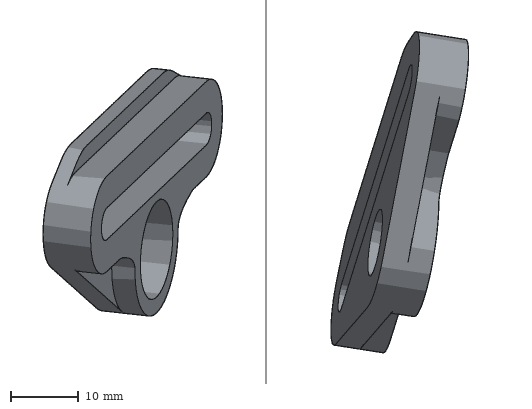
import cadquery as cq
import math

thickness = 7.5
lip_thickness = 2.5
web_thickness = 3.85

slot_radius = 2.5
end_radius = 7.5
end_y = 30.5 - end_radius

lip_radius = 10.0
lip_y = 17.55

hole_radius = 5.0
boss_radius = 10.0
counterbore_radius = 7.5
counterbore_floor = 2.5
hole_z = -11.45

blend_y = 16.8
blend_bar_control_y = 11.9
blend_bar_control_z = -8.55
blend_boss_control_z = -10.05


def prism(outline, depth):
    return outline.close().extrude(depth)


def bar(radius, depth):
    """Round-ended bar along Y, centred on the slot."""
    return cq.Workplane("YZ").slot2D(2 * (end_y + radius), 2 * radius).extrude(depth)


def disc(radius, depth):
    """Disc centred on the round hole."""
    return cq.Workplane("YZ").center(0, hole_z).circle(radius).extrude(depth)


def make_lip():
    """Tall top edge, sloping down along the common tangents of the lip and end arcs."""
    slope = math.asin((lip_radius - end_radius) / (end_y - lip_y))

    def arc_point(center_y, radius, angle):
        return center_y + radius * math.sin(angle), radius * math.cos(angle)

    def mirrored(point):
        return -point[0], point[1]

    low = arc_point(end_y, end_radius, slope)
    high = arc_point(lip_y, lip_radius, slope)
    middle = arc_point(lip_y, lip_radius, slope / 2)
    outline = (
        cq.Workplane("YZ")
        .moveTo(-end_y, 0)
        .lineTo(*mirrored(low))
        .lineTo(*mirrored(high))
        .threePointArc(mirrored(middle), (-lip_y, lip_radius))
        .lineTo(lip_y, lip_radius)
        .threePointArc(middle, high)
        .lineTo(*low)
        .lineTo(end_y, 0)
    )
    return prism(outline, lip_thickness)


def make_web():
    """Triangular web whose sides are the common tangents of the end and boss arcs."""
    span = math.hypot(end_y, hole_z)
    tilt = math.atan2(-hole_z, end_y) + math.asin((boss_radius - end_radius) / span)
    normal_y = math.sin(tilt)
    normal_z = -math.cos(tilt)
    upper = (end_y + end_radius * normal_y, end_radius * normal_z)
    lower = (boss_radius * normal_y, hole_z + boss_radius * normal_z)
    outline = cq.Workplane("YZ").polyline(
        [
            (-end_y, 0),
            (-upper[0], upper[1]),
            (-lower[0], lower[1]),
            (0, hole_z),
            lower,
            upper,
            (end_y, 0),
        ]
    )
    return prism(outline, web_thickness)


def make_boss_neck():
    """Neck joining bar and boss with concave blends that turn tightest beside the boss."""
    bar_end = (blend_y, -end_radius)
    bar_control = (blend_bar_control_y, blend_bar_control_z)
    boss_control = (boss_radius, blend_boss_control_z)
    boss_end = (boss_radius, hole_z)
    blend = [bar_end, bar_control, boss_control, boss_end]
    mirrored_blend = [(-y, z) for y, z in reversed(blend)]
    outline = (
        cq.Workplane("YZ")
        .moveTo(-blend_y, 0)
        .lineTo(blend_y, 0)
        .lineTo(*bar_end)
        .bezier(blend[1:], includeCurrent=True)
        .lineTo(-boss_radius, hole_z)
        .bezier(mirrored_blend[1:], includeCurrent=True)
    )
    return prism(outline, thickness)


body = bar(end_radius, thickness).union(disc(boss_radius, thickness))
body = body.union(make_boss_neck()).union(make_web()).union(make_lip())
body = body.cut(bar(slot_radius, thickness)).cut(disc(hole_radius, thickness))
counterbore = disc(counterbore_radius, thickness - counterbore_floor).translate((counterbore_floor, 0, 0))
result = body.cut(counterbore)